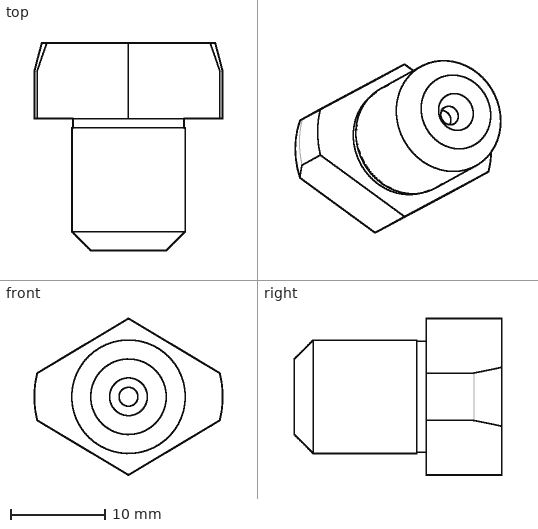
import cadquery as cq
import math

total_length = 22.0
head_length = 8.0
head_diameter = 20.0
head_height = 16.6
side_land_height = 5.02
head_taper_length = 3.0
head_taper_angle = 15.0

shank_diameter = 12.03
neck_diameter = 11.8
neck_length = 1.0
tip_diameter = 8.0
tip_chamfer_length = 2.0

countersink_diameter = 4.0
countersink_angle = 60.0
pilot_diameter = 2.0
pilot_length = 2.0
drill_point_angle = 120.0

head_radius = head_diameter / 2
shank_radius = shank_diameter / 2
neck_radius = neck_diameter / 2
tip_radius = tip_diameter / 2
tip_y = head_length - total_length


def revolve_about_y(profile):
    """Revolve a closed (radius, Y) profile about the part axis."""
    return cq.Workplane("XY").polyline(profile).close().revolve(360, (0, 0, 0), (0, 1, 0))


def cone_depth(diameter_change, included_angle):
    """Axial length of a cone over a given change of diameter."""
    return diameter_change / 2 / math.tan(math.radians(included_angle / 2))


def make_head():
    """Rhombic prism with its side corners turned round and tapered at the back."""
    land_half_height = side_land_height / 2
    peak_z = head_height / 2
    land_x = math.sqrt(head_radius**2 - land_half_height**2)
    corner_x = land_x * peak_z / (peak_z - land_half_height)
    rhombus = (
        cq.Workplane("XZ")
        .polyline([(corner_x, 0), (0, peak_z), (-corner_x, 0), (0, -peak_z)])
        .close()
        .extrude(-head_length)
    )
    back_radius = head_radius - head_taper_length * math.tan(math.radians(head_taper_angle))
    turned_blank = revolve_about_y([
        (0, 0),
        (head_radius, 0),
        (head_radius, head_length - head_taper_length),
        (back_radius, head_length),
        (0, head_length),
    ])
    return rhombus.intersect(turned_blank)


def make_shank():
    """Chamfered pin with a shallow relief neck under the head."""
    return revolve_about_y([
        (0, 0),
        (neck_radius, 0),
        (neck_radius, -neck_length),
        (shank_radius, -neck_length),
        (shank_radius, tip_y + tip_chamfer_length),
        (tip_radius, tip_y),
        (0, tip_y),
    ])


def make_center_hole():
    """Countersunk center hole with a conical bottom."""
    pilot_radius = pilot_diameter / 2
    pilot_start_y = tip_y + cone_depth(countersink_diameter - pilot_diameter, countersink_angle)
    pilot_end_y = pilot_start_y + pilot_length
    return revolve_about_y([
        (0, tip_y),
        (countersink_diameter / 2, tip_y),
        (pilot_radius, pilot_start_y),
        (pilot_radius, pilot_end_y),
        (0, pilot_end_y + cone_depth(pilot_diameter, drill_point_angle)),
    ])


result = make_head().union(make_shank()).cut(make_center_hole())